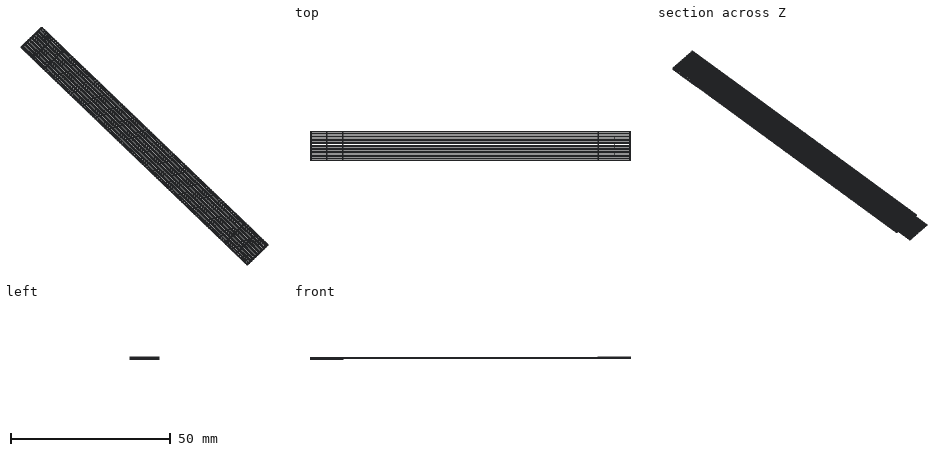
import cadquery as cq

conductor_count = 8
pitch = 1.0
conductor_width = 0.7
conductor_thickness = 0.05

cable_length = 100.0
cable_width = (conductor_count + 1) * pitch
total_thickness = 0.59

film_thickness = 0.045
exposed_length = 5.0
stiffener_length = 10.0

stiffener_thickness = (total_thickness - conductor_thickness) / 2
conductor_bottom = stiffener_thickness
conductor_top = conductor_bottom + conductor_thickness


def strip(x_start, x_end, z_bottom, z_top, width=cable_width, y_centre=0.0):
    """Flat strip running along X, centred on y_centre."""
    length = x_end - x_start
    blank = cq.Workplane("XY").box(length, width, z_top - z_bottom, centered=(False, True, False))
    return blank.translate((x_start, y_centre, z_bottom))


def conductor(index):
    """One full-length flat conductor, counted from the -Y side."""
    y_centre = (index - (conductor_count - 1) / 2) * pitch
    return strip(0, cable_length, conductor_bottom, conductor_top, conductor_width, y_centre)


upper_film_end = cable_length - stiffener_length
upper_film = strip(exposed_length, upper_film_end, conductor_top, conductor_top + film_thickness)
upper_stiffener = strip(upper_film_end, cable_length, conductor_top, total_thickness)

lower_film_end = cable_length - exposed_length
lower_film = strip(stiffener_length, lower_film_end, conductor_bottom - film_thickness, conductor_bottom)
lower_stiffener = strip(0, stiffener_length, 0, conductor_bottom)

result = upper_film.union(upper_stiffener).union(lower_film).union(lower_stiffener)
for conductor_index in range(conductor_count):
    result = result.union(conductor(conductor_index))